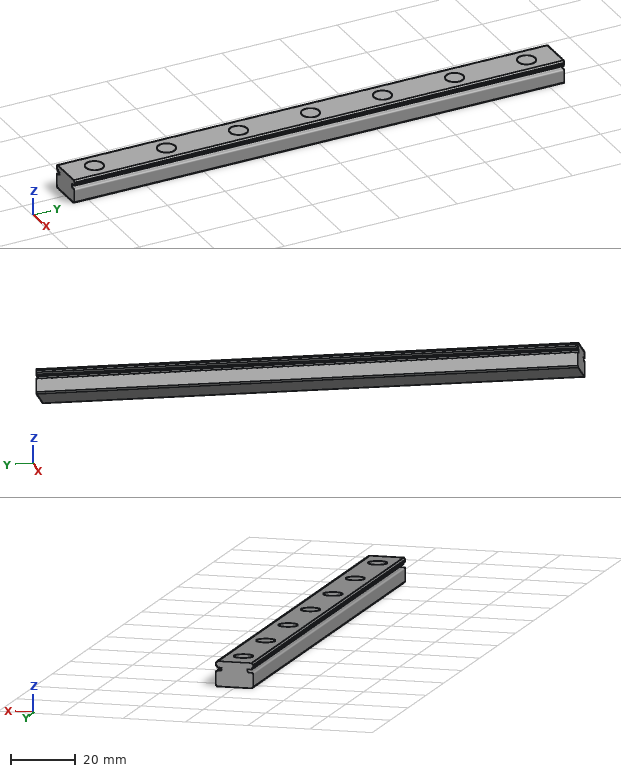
import cadquery as cq

LENGTH = 170.0
WIDTH = 12.0
HEIGHT = 8.0
SIDE = WIDTH / 2
TOP = HEIGHT / 2
BOTTOM = -HEIGHT / 2

BOTTOM_CHAMFER = 0.5
TOP_CHAMFER_WIDTH = 0.5
TOP_CHAMFER_HEIGHT = 0.6

GROOVE_DEPTH = 1.9
GROOVE_CEILING = 2.0
GROOVE_FLOOR = 3.0
GROOVE_CORNER_RADIUS = 0.7
GROOVE_LIP_RADIUS = 0.5
HEAD_SIDE_BOTTOM = 1.2
HEAD_BEVEL = 0.5

RECESS_COUNT = 7
RECESS_PITCH = 25.0
RECESS_DIAMETER = 6.0
RECESS_DEPTH = 0.08


def half_section():
    """Closed outline of the +X half of the rail, drawn upward from the bottom."""
    floor = TOP - GROOVE_FLOOR
    ceiling = TOP - GROOVE_CEILING
    head_bottom = TOP - HEAD_SIDE_BOTTOM
    groove_wall = SIDE - GROOVE_DEPTH
    bevel_inner = SIDE - HEAD_BEVEL
    return (
        cq.Workplane("XZ")
        .moveTo(0, BOTTOM)
        .lineTo(SIDE - BOTTOM_CHAMFER, BOTTOM)
        .lineTo(SIDE, BOTTOM + BOTTOM_CHAMFER)
        .lineTo(SIDE, floor - GROOVE_LIP_RADIUS)
        .tangentArcPoint((SIDE - GROOVE_LIP_RADIUS, floor), relative=False)
        .lineTo(groove_wall + GROOVE_CORNER_RADIUS, floor)
        .tangentArcPoint((groove_wall, floor + GROOVE_CORNER_RADIUS), relative=False)
        .lineTo(groove_wall, ceiling)
        .lineTo(bevel_inner, ceiling)
        .lineTo(bevel_inner, head_bottom - HEAD_BEVEL)
        .lineTo(SIDE, head_bottom)
        .lineTo(SIDE, TOP - TOP_CHAMFER_HEIGHT)
        .lineTo(SIDE - TOP_CHAMFER_WIDTH, TOP)
        .lineTo(0, TOP)
        .close()
    )


def rail_body():
    """Rail with a groove along each side, symmetric about X = 0."""
    right_half = half_section().extrude(LENGTH / 2, both=True)
    return right_half.union(right_half.mirror("YZ")).clean()


def cut_recesses(body):
    """Cut the evenly spaced recesses into the top face."""
    return (
        body.faces(">Z")
        .workplane(origin=(0, 0, TOP))
        .rarray(1.7, RECESS_PITCH, 1, RECESS_COUNT)
        .circle(RECESS_DIAMETER / 2)
        .cutBlind(-RECESS_DEPTH)
    )


result = cut_recesses(rail_body())